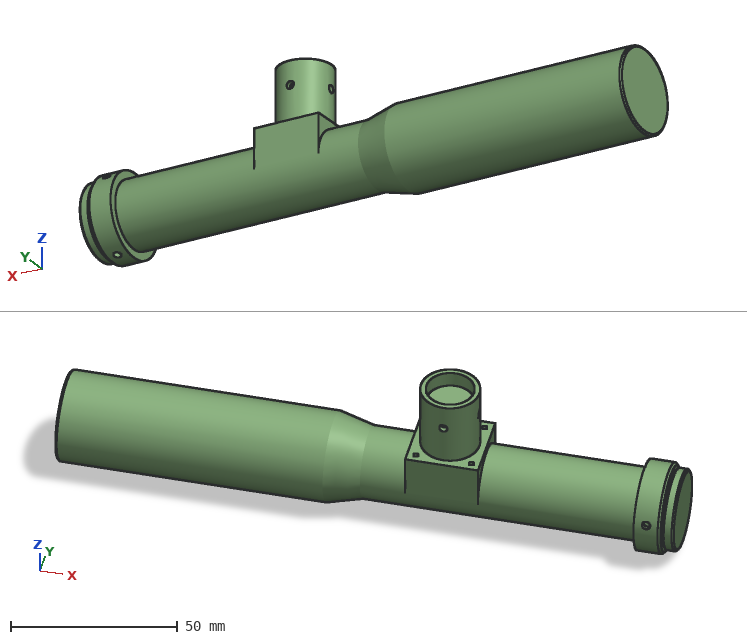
import cadquery as cq
import math

total_length = 190.2
total_height = 47.7
barrel_diameter = 28.0
barrel_radius = barrel_diameter / 2
barrel_end = 82.5
barrel_chamfer = 0.5
tube_radius = 11.2
cone_end = 93.4

ring_start = 178.2
ring_end = 186.4
ring_chamfer = 0.8
groove_radius = 11.8
groove_width = 0.8
mount_radius = 12.5
mount_chamfer = 0.5
ring_screw_x = 182.0
ring_screw_count = 3
ring_screw_first_angle = 45

post_x = 118.5
block_size = 2 * tube_radius
block_top = 13.1
corner_hole_pitch = 17.1
corner_hole_diameter = 1.5
corner_hole_depth = 3.8
post_diameter = 18.0
post_top = total_height - barrel_radius
post_bore_diameter = 14.6
post_bore_depth = 5.0
post_screw_z = 25.7
post_screw_count = 4

screw_diameter = 2.5
screw_depth = 1.9


def make_barrel():
    """Revolve the stepped barrel, ring and mount about the X axis."""
    groove_end = ring_end + groove_width
    profile = [
        (0, 0),
        (0, barrel_radius - barrel_chamfer),
        (barrel_chamfer, barrel_radius),
        (barrel_end, barrel_radius),
        (cone_end, tube_radius),
        (ring_start, tube_radius),
        (ring_start, barrel_radius),
        (ring_end - ring_chamfer, barrel_radius),
        (ring_end, barrel_radius - ring_chamfer),
        (ring_end, groove_radius),
        (groove_end, groove_radius),
        (groove_end, mount_radius),
        (total_length - mount_chamfer, mount_radius),
        (total_length, mount_radius - mount_chamfer),
        (total_length, 0),
    ]
    return cq.Workplane("XY").polyline(profile).close().revolve(360, (0, 0, 0), (1, 0, 0))


def make_side_port():
    """Block on the tube with corner holes, carrying the post with its shallow bore."""
    block = cq.Workplane("XY").center(post_x, 0).rect(block_size, block_size).extrude(block_top)
    block = (
        block.faces(">Z").workplane(origin=(post_x, 0, block_top))
        .rect(corner_hole_pitch, corner_hole_pitch, forConstruction=True)
        .vertices().hole(corner_hole_diameter, corner_hole_depth)
    )
    post = cq.Workplane("XY").center(post_x, 0).circle(post_diameter / 2).extrude(post_top)
    post = post.faces(">Z").workplane().hole(post_bore_diameter, post_bore_depth)
    return block.union(post)


def screw_hole(centre, outward, surface_radius):
    """Blind cylinder running inward from just outside a round surface."""
    outer_radius = surface_radius + screw_depth
    start = cq.Vector(*centre) + outward * outer_radius
    return cq.Solid.makeCylinder(screw_diameter / 2, 2 * screw_depth, start, outward * -1)


part = make_barrel().union(make_side_port())

for i in range(post_screw_count):
    angle = 2 * math.pi * i / post_screw_count
    outward = cq.Vector(math.cos(angle), math.sin(angle), 0)
    part = part.cut(cq.Workplane(screw_hole((post_x, 0, post_screw_z), outward, post_diameter / 2)))

for i in range(ring_screw_count):
    angle = math.radians(ring_screw_first_angle) + 2 * math.pi * i / ring_screw_count
    outward = cq.Vector(0, math.cos(angle), math.sin(angle))
    part = part.cut(cq.Workplane(screw_hole((ring_screw_x, 0, 0), outward, barrel_radius)))

result = part.translate((-total_length / 2, 0, 0))